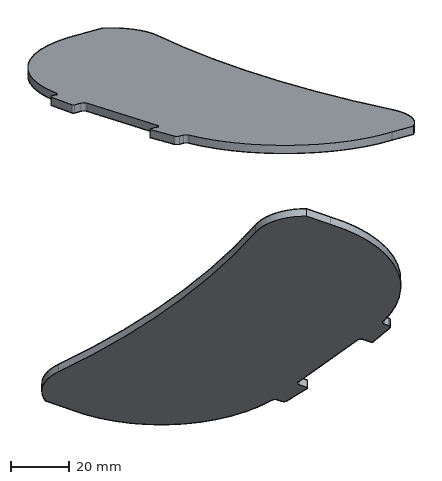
import cadquery as cq
import math

half_width = 78.2
thickness = 3.0

side_radius = 50.9
side_center_x = half_width - side_radius
side_center_y = 50.7
side_bulge = 0.08
flat_x = half_width - side_bulge

top_radius = 303.5
top_low_y = 65.7
top_center_y = top_low_y + top_radius

corner_radius = 18.8
corner_center_x = 62.6

tab_inner_x = 19.1
tab_outer_x = 32.0
tab_inner_depth = 5.2
tab_outer_depth = 4.2
root_fillet = 1.4
tip_outer_fillet = 1.4
tip_inner_fillet = 0.6

center_distance = top_radius + corner_radius
corner_center_y = top_center_y - math.sqrt(center_distance**2 - corner_center_x**2)
tangent_x = corner_center_x * top_radius / center_distance
tangent_y = top_center_y - math.sqrt(top_radius**2 - tangent_x**2)
side_top_y = corner_center_y + math.sqrt(corner_radius**2 - (flat_x - corner_center_x)**2)
flat_end_y = side_center_y + math.sqrt(side_radius**2 - (flat_x - side_center_x)**2)
side_end_y = side_center_y - math.sqrt(side_radius**2 - (tab_outer_x - side_center_x)**2)

corner_mid = (corner_center_x, corner_center_y + corner_radius)
diagonal = side_radius * math.sqrt(0.5)
side_mid = (side_center_x + diagonal, side_center_y - diagonal)


def mirrored(point):
    return (-point[0], point[1])


outline = (
    cq.Workplane("XY")
    .moveTo(-tangent_x, tangent_y)
    .threePointArc((0, top_low_y), (tangent_x, tangent_y))
    .threePointArc(corner_mid, (flat_x, side_top_y))
    .lineTo(flat_x, flat_end_y)
    .threePointArc(side_mid, (tab_outer_x, side_end_y))
    .lineTo(tab_outer_x, -tab_outer_depth)
    .lineTo(tab_inner_x, -tab_inner_depth)
    .lineTo(tab_inner_x, 0)
    .lineTo(-tab_inner_x, 0)
    .lineTo(-tab_inner_x, -tab_inner_depth)
    .lineTo(-tab_outer_x, -tab_outer_depth)
    .lineTo(-tab_outer_x, side_end_y)
    .threePointArc(mirrored(side_mid), (-flat_x, flat_end_y))
    .lineTo(-flat_x, side_top_y)
    .threePointArc(mirrored(corner_mid), (-tangent_x, tangent_y))
    .close()
)
plate = outline.extrude(thickness)


def round_corner_pair(body, x, y, radius):
    """Round the upright edges at (x, y) and at its mirror image (-x, y)."""
    reach = 0.2
    for center_x in (-x, x):
        selector = cq.selectors.BoxSelector(
            (center_x - reach, y - reach, 0),
            (center_x + reach, y + reach, thickness),
        )
        body = body.edges("|Z").edges(selector).fillet(radius)
    return body


plate = round_corner_pair(plate, tab_outer_x, side_end_y, root_fillet)
plate = round_corner_pair(plate, tab_inner_x, 0, root_fillet)
plate = round_corner_pair(plate, tab_outer_x, -tab_outer_depth, tip_outer_fillet)
plate = round_corner_pair(plate, tab_inner_x, -tab_inner_depth, tip_inner_fillet)

result = plate